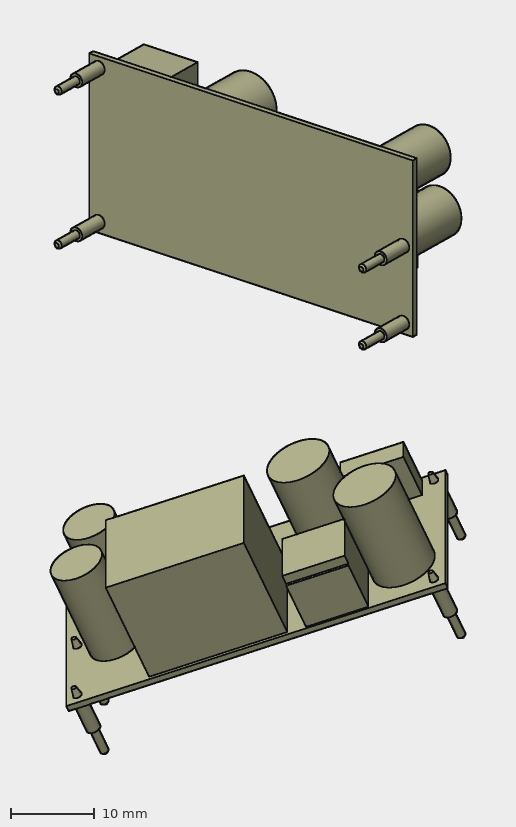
import cadquery as cq

board_length = 48.6
board_height = 23.3
board_thickness = 0.8

pitch = 2.54
pin_column_spacing = 18 * pitch
pin_row_spacing = 4 * pitch
left_column_x = (board_length - pin_column_spacing) / 2
right_column_x = left_column_x + pin_column_spacing
middle_row_z = board_height / 2
bottom_row_z = middle_row_z - pin_row_spacing
top_row_z = middle_row_z + pin_row_spacing
pin_places = [
    (left_column_x, bottom_row_z),
    (left_column_x, top_row_z),
    (right_column_x, bottom_row_z),
    (right_column_x, middle_row_z),
]
pin_diameter = 1.1
pin_reach = 8.2
pin_tip_chamfer = 0.25
collar_diameter = 1.8
collar_length = 4.4
tail_length = 1.2
tail_tip_diameter = 0.6

capacitor_height = 12.65
large_capacitor = 8.0
small_capacitor = 6.6
capacitors = [
    (5.34, 6.37, large_capacitor),
    (13.86, 15.85, large_capacitor),
    (40.68, 17.25, small_capacitor),
    (42.3, 9.7, small_capacitor),
]

transformer = dict(left=20.27, bottom=0.5, length=17.7, width=13.9, height=14.0)
fuse = dict(left=3.0, bottom=19.7, length=8.1, width=3.1, height=6.0)

relay_length = large_capacitor
relay_left = capacitors[1][0] - relay_length / 2
relay_base_bottom = 0.3
relay_base_width = 8.0
relay_lip = 0.4
relay_base = dict(
    left=relay_left, bottom=relay_base_bottom, length=relay_length, width=relay_base_width, height=6.45
)
relay_case = dict(
    left=relay_left,
    bottom=relay_base_bottom + relay_lip,
    length=relay_length,
    width=relay_base_width - relay_lip,
    height=7.7,
)
box_components = [transformer, fuse, relay_base, relay_case]


def block(left, bottom, length, width, height):
    """Rectangular component standing on the board."""
    depth = board_thickness + height
    return cq.Workplane("XY", origin=(left, 0, bottom)).box(length, depth, width, centered=False)


def rod(x, z, diameter, start_y, length):
    """Round bar along +Y."""
    return cq.Workplane("XZ", origin=(x, start_y, z)).circle(diameter / 2).extrude(-length)


def populated_board():
    """Board with its components as one body, pierced by the pin holes."""
    body = cq.Workplane("XY").box(board_length, board_thickness, board_height, centered=False)
    for x, z, diameter in capacitors:
        body = body.union(rod(x, z, diameter, 0, board_thickness + capacitor_height))
    for component in box_components:
        body = body.union(block(**component))
    for x, z in pin_places:
        body = body.cut(rod(x, z, pin_diameter, 0, board_thickness + tail_length))
    return body


def pin(x, z):
    """Turned pin: chamfered contact, collar against the board, shank through it and a tapered tail."""
    radius = pin_diameter / 2
    half_section = [
        (0, -pin_reach),
        (radius - pin_tip_chamfer, -pin_reach),
        (radius, -pin_reach + pin_tip_chamfer),
        (radius, -collar_length),
        (collar_diameter / 2, -collar_length),
        (collar_diameter / 2, 0),
        (radius, 0),
        (radius, board_thickness),
        (tail_tip_diameter / 2, board_thickness + tail_length),
        (0, board_thickness + tail_length),
    ]
    profile = cq.Workplane("XY").polyline(half_section).close()
    return profile.revolve(360, (0, 0, 0), (0, 1, 0)).translate((x, 0, z))


board = populated_board()
pins = [pin(x, z) for x, z in pin_places]

result = cq.Compound.makeCompound([board.val(), *[each.val() for each in pins]])